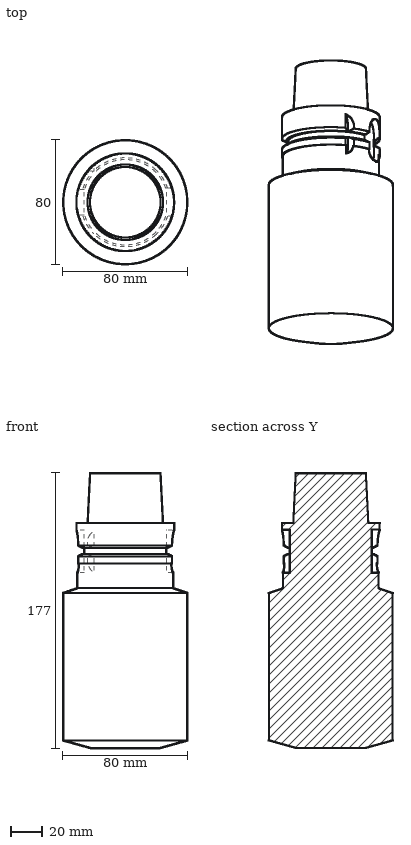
import math

import cadquery as cq

TOTAL_HEIGHT = 177.0
SHANK_LENGTH = 32.0
FLANGE_LENGTH = 26.0
NECK_LENGTH = 16.0
SHOULDER_HEIGHT = 3.0
FLANGE_TOP = TOTAL_HEIGHT - SHANK_LENGTH
FLANGE_BOTTOM = FLANGE_TOP - FLANGE_LENGTH
NECK_BOTTOM = FLANGE_BOTTOM - NECK_LENGTH
BODY_TOP = NECK_BOTTOM - SHOULDER_HEIGHT

BODY_RADIUS = 80.0 / 2
FLANGE_RADIUS = 63.0 / 2
NECK_RADIUS = 62.0 / 2
END_FACE_RADIUS = 22.0
END_BEVEL_HEIGHT = 5.0

GAUGE_RADIUS = 48.0 / 2
GAUGE_HEIGHT = 6.3
RADIUS_PER_LENGTH = 1 / 20
SHANK_BASE_RADIUS = GAUGE_RADIUS + GAUGE_HEIGHT * RADIUS_PER_LENGTH
SHANK_TIP_RADIUS = SHANK_BASE_RADIUS - SHANK_LENGTH * RADIUS_PER_LENGTH

GROOVE_SETBACK = 18.0
GROOVE_CENTRE = FLANGE_TOP - GROOVE_SETBACK
GROOVE_RADIUS = 55.0 / 2
GROOVE_FLOOR_WIDTH = 3.75
GROOVE_MOUTH_WIDTH = 7.0
FLARE_ANGLE = math.radians(30)
FLARE_HEIGHT = (GROOVE_MOUTH_WIDTH - GROOVE_FLOOR_WIDTH) / 2
FLARE_INNER_RADIUS = FLANGE_RADIUS - FLARE_HEIGHT / math.tan(FLARE_ANGLE)

SLOT_WIDTH = 16.5
WIDE_SLOT_WIDTH = 18.0
SLOT_SETBACK = 4.5
SLOT_LENGTH = 27.5
SLOT_TOP = FLANGE_TOP - SLOT_SETBACK
SLOT_BOTTOM = SLOT_TOP - SLOT_LENGTH
SLOT_CORNER_RADIUS = 6.0
KEY_SLOT_FLOOR = 26.5
SIDE_NOTCH_FLOOR = 20.2
SIDE_NOTCH_EDGE = 20.0


def turned_blank():
    floor_half = GROOVE_FLOOR_WIDTH / 2
    mouth_half = GROOVE_MOUTH_WIDTH / 2
    outline = [
        (0, 0),
        (END_FACE_RADIUS, 0),
        (BODY_RADIUS, END_BEVEL_HEIGHT),
        (BODY_RADIUS, BODY_TOP),
        (NECK_RADIUS, NECK_BOTTOM),
        (NECK_RADIUS, FLANGE_BOTTOM),
        (FLANGE_RADIUS, FLANGE_BOTTOM),
        (FLANGE_RADIUS, GROOVE_CENTRE - mouth_half),
        (FLARE_INNER_RADIUS, GROOVE_CENTRE - floor_half),
        (GROOVE_RADIUS, GROOVE_CENTRE - floor_half),
        (GROOVE_RADIUS, GROOVE_CENTRE + floor_half),
        (FLARE_INNER_RADIUS, GROOVE_CENTRE + floor_half),
        (FLANGE_RADIUS, GROOVE_CENTRE + mouth_half),
        (FLANGE_RADIUS, FLANGE_TOP),
        (SHANK_BASE_RADIUS, FLANGE_TOP),
        (SHANK_TIP_RADIUS, TOTAL_HEIGHT),
        (0, TOTAL_HEIGHT),
    ]
    return cq.Workplane("XZ").polyline(outline).close().revolve(360, (0, 0, 0), (0, 1, 0))


def slot_cutter(width, centre_y, floor_distance):
    """Slot-shaped block on the -X side, from the slot floor outwards to the body radius."""
    half_width = width / 2
    corner = SLOT_CORNER_RADIUS
    arc_start = SLOT_TOP - half_width
    left = centre_y - half_width
    right = centre_y + half_width
    return (
        cq.Workplane("YZ", origin=(-floor_distance, 0, 0))
        .moveTo(left, SLOT_BOTTOM + corner)
        .lineTo(left, arc_start)
        .threePointArc((centre_y, SLOT_TOP), (right, arc_start))
        .lineTo(right, SLOT_BOTTOM + corner)
        .radiusArc((right - corner, SLOT_BOTTOM), corner)
        .lineTo(left + corner, SLOT_BOTTOM)
        .radiusArc((left, SLOT_BOTTOM + corner), corner)
        .close()
        .extrude(floor_distance - BODY_RADIUS)
    )


def cut_slots(part):
    key_slot = slot_cutter(SLOT_WIDTH, 0, KEY_SLOT_FLOOR)
    wide_key_slot = slot_cutter(WIDE_SLOT_WIDTH, 0, KEY_SLOT_FLOOR).mirror("YZ")
    side_notch = slot_cutter(SLOT_WIDTH, SIDE_NOTCH_EDGE + SLOT_WIDTH / 2, SIDE_NOTCH_FLOOR)
    return part.cut(key_slot).cut(wide_key_slot).cut(side_notch)


result = cut_slots(turned_blank())